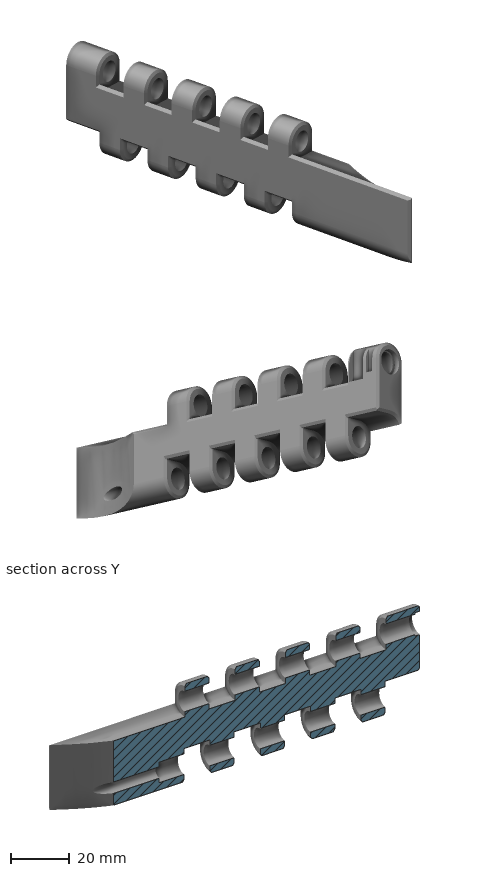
import cadquery as cq
import math

LENGTH = 152.32
THICKNESS = 12.7
HEIGHT = 37.5
RADIUS = THICKNESS / 2
FRONT = -RADIUS
BACK = RADIUS

LOWER_AXIS = RADIUS
MID_HEIGHT = HEIGHT / 2

PITCH = 21.25
KNUCKLE_WIDTH = 10.4
FIRST_KNUCKLE_WIDTH = 14.4
UPPER_COUNT = 5
LOWER_COUNT = 4
LOWER_START = 14.6
BLADE_START = LOWER_START + LOWER_COUNT * PITCH

EDGE_DEPTH = 0.65
EDGE_SIDE = 1.0
EDGE_TAPER = math.degrees(math.atan2(EDGE_SIDE, EDGE_DEPTH))
LIP_CHAMFER = 1.0
BACK_CHAMFER = 0.5
BACK_CHAMFER_RISE = 1.0

PIN_WIDTH = 6.8
PIN_HEIGHT = 7.7
PIN_INSET = 6.8
HEAD_DIAMETER = 8.8
HEAD_DEPTH = 2.0
BLADE_HOLE_DIAMETER = 4.2
BLADE_SOCKET_DEPTH = KNUCKLE_WIDTH

WEB_TOP = HEIGHT - THICKNESS
BACK_POCKETS = [
    (2.4, 5.4, 1.5, WEB_TOP + 2.0),
    (6.8, 13.2, 2.4, WEB_TOP),
]

TAPER_START = (114.3, BACK)
TAPER_MIDDLE = (129.6, 0.0)
TIP_THICKNESS = 1.0
TIP_CHAMFER_LENGTH = 1.0
TIP_CHAMFER_DEPTH = 0.5


def mirror_up(solid):
    """Turn a lower feature into the matching upper one."""
    return solid.mirror("XY", (0, 0, MID_HEIGHT))


def web():
    """Full-length middle plate whose edges are hollowed to clear the mating knuckles."""
    lip_y = FRONT + LIP_CHAMFER
    lip_rise = math.sqrt(RADIUS**2 - lip_y**2)
    floor = LOWER_AXIS + RADIUS
    half = (
        cq.Workplane("YZ")
        .moveTo(FRONT, MID_HEIGHT)
        .lineTo(FRONT, LOWER_AXIS + lip_rise + LIP_CHAMFER)
        .lineTo(lip_y, LOWER_AXIS + lip_rise)
        .radiusArc((0, floor), RADIUS)
        .lineTo(BACK - BACK_CHAMFER, floor)
        .lineTo(BACK, floor + BACK_CHAMFER_RISE)
        .lineTo(BACK, MID_HEIGHT)
        .close()
        .extrude(LENGTH)
    )
    return half.union(mirror_up(half))


def round_outline(start):
    """Lower round-ended outline, from the hinge side up to mid height."""
    return (
        cq.Workplane("YZ", origin=(start, 0, 0))
        .moveTo(FRONT, MID_HEIGHT)
        .lineTo(FRONT, LOWER_AXIS)
        .threePointArc((0, 0), (BACK, LOWER_AXIS))
        .lineTo(BACK, MID_HEIGHT)
        .close()
    )


def knuckle_core(start, end):
    """Lower block with square ends."""
    return round_outline(start).extrude(end - start)


def left_bevel(x):
    """Bevelled end piece of a lower block whose left face lies at x."""
    return round_outline(x + EDGE_DEPTH).extrude(-EDGE_DEPTH, taper=EDGE_TAPER)


def right_bevel(x):
    """Bevelled end piece of a lower block whose right face lies at x."""
    return round_outline(x - EDGE_DEPTH).extrude(EDGE_DEPTH, taper=EDGE_TAPER)


def knuckle(start):
    """Lower knuckle, chamfered at both ends."""
    end = start + KNUCKLE_WIDTH
    core = knuckle_core(start + EDGE_DEPTH, end - EDGE_DEPTH)
    return core.union(left_bevel(start)).union(right_bevel(end))


def first_knuckle():
    """Wide upper knuckle at the left end, with two pockets cut into its back."""
    core = knuckle_core(0, FIRST_KNUCKLE_WIDTH - EDGE_DEPTH)
    block = mirror_up(core.union(right_bevel(FIRST_KNUCKLE_WIDTH)))
    for start, end, depth, floor in BACK_POCKETS:
        pocket = cq.Workplane("XY").box(end - start, depth, HEIGHT, centered=False)
        block = block.cut(pocket.translate((start, BACK - depth, floor)))
    return block


def left_end_envelope():
    """Full round-ended bar whose left end is chamfered."""
    lower = knuckle_core(EDGE_DEPTH, LENGTH).union(left_bevel(0))
    middle = (
        cq.Workplane("YZ", origin=(EDGE_DEPTH, 0, MID_HEIGHT))
        .rect(THICKNESS, THICKNESS)
        .extrude(-EDGE_DEPTH, taper=EDGE_TAPER)
    )
    return lower.union(mirror_up(lower)).union(middle)


def left_end_floor_bevel():
    """Cutter that bevels the hollowed lower edge of the left end face."""
    radius = RADIUS + EDGE_SIDE
    floor = LOWER_AXIS + radius
    return (
        cq.Workplane("YZ")
        .moveTo(-radius, LOWER_AXIS)
        .radiusArc((0, floor), radius)
        .lineTo(THICKNESS, floor)
        .lineTo(THICKNESS, LOWER_AXIS - radius)
        .lineTo(-radius, LOWER_AXIS - radius)
        .close()
        .extrude(EDGE_DEPTH, taper=EDGE_TAPER)
    )


def blade():
    """Lower round-edged part of the blade, chamfered where it faces the last gap."""
    return knuckle_core(BLADE_START + EDGE_DEPTH, LENGTH).union(left_bevel(BLADE_START))


def oval_hole(start, length):
    """Cutter for the lower pin hole."""
    return (
        cq.Workplane("YZ", origin=(start, 0, PIN_INSET))
        .ellipse(PIN_WIDTH / 2, PIN_HEIGHT / 2)
        .extrude(length)
    )


def round_hole(start, length, diameter):
    """Cutter for a round hole on the lower pin line."""
    return cq.Workplane("YZ", origin=(start, 0, PIN_INSET)).circle(diameter / 2).extrude(length)


def taper_cut():
    """Everything behind the concave curve that thins the blade."""
    return (
        cq.Workplane("XY")
        .moveTo(*TAPER_START)
        .threePointArc(TAPER_MIDDLE, (LENGTH, FRONT + TIP_THICKNESS))
        .lineTo(LENGTH, BACK)
        .close()
        .extrude(HEIGHT)
    )


def tip_chamfer():
    """Wedge that bevels the front edge of the blade tip."""
    return (
        cq.Workplane("XY")
        .moveTo(LENGTH - TIP_CHAMFER_LENGTH, FRONT)
        .lineTo(LENGTH, FRONT + TIP_CHAMFER_DEPTH)
        .lineTo(LENGTH, FRONT)
        .close()
        .extrude(HEIGHT)
    )


result = web().union(first_knuckle())
result = result.intersect(left_end_envelope()).cut(left_end_floor_bevel())

last_upper_end = FIRST_KNUCKLE_WIDTH + (UPPER_COUNT - 1) * PITCH
for i in range(1, UPPER_COUNT):
    end = FIRST_KNUCKLE_WIDTH + i * PITCH
    result = result.union(mirror_up(knuckle(end - KNUCKLE_WIDTH)))
for i in range(LOWER_COUNT):
    result = result.union(knuckle(LOWER_START + i * PITCH))
result = result.union(blade())

result = result.cut(mirror_up(oval_hole(0, last_upper_end)))
result = result.cut(mirror_up(round_hole(0, HEAD_DEPTH, HEAD_DIAMETER)))
result = result.cut(oval_hole(0, BLADE_START + BLADE_SOCKET_DEPTH))
result = result.cut(round_hole(BLADE_START, LENGTH - BLADE_START, BLADE_HOLE_DIAMETER))

result = result.cut(taper_cut()).cut(tip_chamfer())